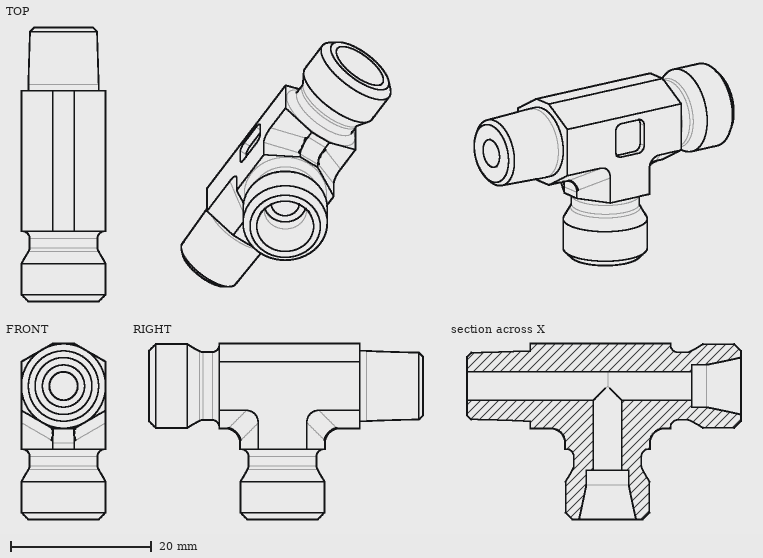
import cadquery as cq
import math

across_flats = 12.0
cut_height = 6.06
run_front = 9.0
run_back = 11.0
branch_run = 9.0
crotch_radius = 2.0

end_length = 10.0
end_radius = 6.0
neck_radius = 9.7 / 2
neck_fillet = 1.0
shoulder_distance = 4.58
shoulder_angle = math.radians(30)
end_chamfer = 1.0

seat_mouth_radius = 8.1 / 2
socket_radius = 6.0 / 2
seat_half_angle = math.radians(12)
socket_depth = 7.0
bore_radius = 4.0 / 2

stud_length = 9.0
stud_radius = 10.04 / 2
stud_collar_length = 0.9
stud_taper = 1 / 32
stud_chamfer = 0.6

recess_size = 5.0
recess_corner_radius = 1.0
recess_depth = 1.0

front_arm = cq.Plane(origin=(0, 0, 0), xDir=(1, 0, 0), normal=(0, -1, 0))
back_arm = cq.Plane(origin=(0, 0, 0), xDir=(1, 0, 0), normal=(0, 1, 0))
branch_arm = cq.Plane(origin=(0, 0, 0), xDir=(1, 0, 0), normal=(0, 0, -1))


def bar(arm, length):
    """Cut-corner hexagonal bar from the crossing of the axes along an arm."""
    half_width = across_flats / 2
    side_corner = half_width / math.sqrt(3)
    full_corner = 2 * side_corner
    cut_half_width = (full_corner - cut_height) * math.sqrt(3)
    outline = [
        (half_width, -side_corner),
        (half_width, side_corner),
        (cut_half_width, cut_height),
        (-cut_half_width, cut_height),
        (-half_width, side_corner),
        (-half_width, -side_corner),
        (-cut_half_width, -cut_height),
        (cut_half_width, -cut_height),
    ]
    return cq.Workplane(arm).polyline(outline).close().extrude(length)


def revolve_on(arm, half_profile):
    """Turn a (radius, distance) profile about an arm's axis."""
    section = cq.Plane(origin=arm.origin, xDir=arm.xDir, normal=arm.xDir.cross(arm.zDir))
    outline = half_profile(cq.Workplane(section)).close()
    return outline.revolve(360, (0, 0, 0), (0, 1, 0))


def fillet_rise(angle):
    """Radial rise of a neck fillet above the neck after turning by an angle."""
    return neck_fillet * (1 - math.cos(angle))


def tube_end(arm, start):
    """Threaded tube end with a filleted neck and a conical shoulder."""
    tip = start + end_length
    shoulder = start + shoulder_distance
    cone_radius = neck_radius + fillet_rise(shoulder_angle)
    cone_start = shoulder - (end_radius - cone_radius) / math.tan(shoulder_angle)
    neck_start = start + neck_fillet
    neck_end = cone_start - neck_fillet * math.sin(shoulder_angle)
    root_angle = math.radians(45)
    root_middle = (
        neck_radius + fillet_rise(root_angle),
        neck_start - neck_fillet * math.sin(root_angle),
    )
    half_sweep = shoulder_angle / 2
    shoulder_middle = (
        neck_radius + fillet_rise(half_sweep),
        neck_end + neck_fillet * math.sin(half_sweep),
    )

    def profile(sketch):
        return (
            sketch.moveTo(0, start)
            .lineTo(neck_radius + neck_fillet, start)
            .threePointArc(root_middle, (neck_radius, neck_start))
            .lineTo(neck_radius, neck_end)
            .threePointArc(shoulder_middle, (cone_radius, cone_start))
            .lineTo(end_radius, shoulder)
            .lineTo(end_radius, tip - end_chamfer)
            .lineTo(end_radius - end_chamfer, tip)
            .lineTo(0, tip)
        )

    return revolve_on(arm, profile)


def tube_bore(arm, start):
    """Conical seat, socket and narrow bore from a tube end to the crossing."""
    tip = start + end_length
    cone_depth = (seat_mouth_radius - socket_radius) / math.tan(seat_half_angle)

    def profile(sketch):
        return (
            sketch.moveTo(0, 0)
            .lineTo(bore_radius, 0)
            .lineTo(bore_radius, tip - socket_depth)
            .lineTo(socket_radius, tip - socket_depth)
            .lineTo(socket_radius, tip - cone_depth)
            .lineTo(seat_mouth_radius, tip)
            .lineTo(0, tip)
        )

    return revolve_on(arm, profile)


def stud(arm, start):
    """Short cylindrical collar followed by a tapered, chamfered stud."""
    tip = start + stud_length
    collar_end = start + stud_collar_length
    taper_end = tip - stud_chamfer
    taper_end_radius = stud_radius - stud_taper * (taper_end - collar_end)

    def profile(sketch):
        return (
            sketch.moveTo(0, start)
            .lineTo(stud_radius, start)
            .lineTo(stud_radius, collar_end)
            .lineTo(taper_end_radius, taper_end)
            .lineTo(taper_end_radius - stud_chamfer, tip)
            .lineTo(0, tip)
        )

    return revolve_on(arm, profile)


def crotch_edges(body):
    """Edges where the run and the branch meet: there |Y| equals -Z all along."""
    tolerance = 1e-4
    found = []
    for edge in body.edges().vals():
        ends = (edge.startPoint(), edge.endPoint())
        on_seam = all(abs(abs(p.y) + p.z) < tolerance for p in ends)
        if on_seam and ends[0].y * ends[1].y > 0:
            found.append(edge)
    return body.newObject(found)


def marking_recess():
    """Rounded square pocket sunk into the -X flat."""
    face = cq.Plane(origin=(-across_flats / 2, 0, 0), xDir=(0, 1, 0), normal=(1, 0, 0))
    block = cq.Workplane(face).rect(recess_size, recess_size).extrude(recess_depth)
    return block.edges("|X").fillet(recess_corner_radius)


run = bar(front_arm, run_front).union(bar(back_arm, run_back)).clean()
body = run.union(bar(branch_arm, branch_run)).clean()
body = crotch_edges(body).fillet(crotch_radius)

body = body.union(tube_end(front_arm, run_front))
body = body.union(tube_end(branch_arm, branch_run))
body = body.union(stud(back_arm, run_back))

back_bore = cq.Workplane(back_arm).circle(bore_radius).extrude(run_back + stud_length)
body = body.cut(tube_bore(front_arm, run_front))
body = body.cut(tube_bore(branch_arm, branch_run))
body = body.cut(back_bore)

result = body.cut(marking_recess())